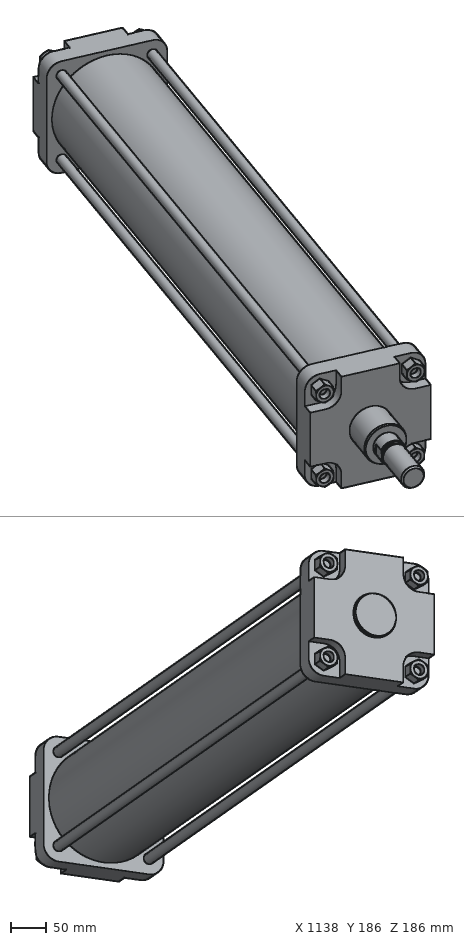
import cadquery as cq
import math


cap_width = 186.0
cap_length = 48.0
tie_rod_pitch = 140.0
cap_corner_radius = (cap_width - tie_rod_pitch) / 2
pocket_depth = 19.0
pocket_width = 48.0
pocket_corner_radius = pocket_width / 2
pocket_offset = (cap_width - pocket_width) / 2
tie_rod_offset = tie_rod_pitch / 2

collar_diameter = 65.0
collar_chamfer_length = 3.0
collar_chamfer_height = 1.2
boss_length = 6.0
front_collar_length = 55.0

barrel_diameter = 170.0
body_length = 980.0
barrel_length = body_length - 2 * cap_length
front_cap_start = body_length - cap_length

rod_diameter = 40.0
rod_flat_width = 36.0
rod_shoulder_reach = 80.0
rod_shoulder_chamfer = 1.5
flat_length = 19.0
thread_diameter = 36.0
thread_length = 72.0
thread_chamfer_length = 3.0
thread_relief_length = 2.0
thread_chamfer_height = 2.5
rod_shoulder = body_length + rod_shoulder_reach

tie_rod_diameter = 16.0
nut_width = 27.0
nut_height = 18.0
nut_corner_diameter = nut_width / math.cos(math.pi / 6)
nut_bevel_angle = math.radians(30)
nut_bevel_height = (nut_corner_diameter - nut_width) / 2 * math.tan(nut_bevel_angle)
tie_rod_end_chamfer = 1.5
tie_rod_recess = 10.0

corner_centres = [
    (y_side * tie_rod_offset, z_side * tie_rod_offset)
    for y_side in (-1, 1)
    for z_side in (-1, 1)
]


def turned(profile):
    """Solid of revolution about the X axis from (x, radius) points."""
    start_x = profile[0][0]
    end_x = profile[-1][0]
    outline = [(start_x, 0), *profile, (end_x, 0)]
    return (
        cq.Workplane("XZ")
        .polyline(outline)
        .close()
        .revolve(360, (0, 0, 0), (1, 0, 0))
    )


def disc(start_x, diameter, length):
    """Plain cylinder about the X axis, growing from start_x to +X."""
    return turned([(start_x, diameter / 2), (start_x + length, diameter / 2)])


def corner_pockets(start_x):
    """Four corner reliefs that leave room for the tie-rod nuts."""
    pockets = cq.Workplane("YZ")
    for y, z in corner_centres:
        centre_y = math.copysign(pocket_offset, y)
        centre_z = math.copysign(pocket_offset, z)
        pocket = (
            cq.Workplane("YZ", origin=(start_x, centre_y, centre_z))
            .rect(pocket_width, pocket_width)
            .extrude(pocket_depth)
        )
        inner_y = "<Y" if y > 0 else ">Y"
        inner_z = "<Z" if z > 0 else ">Z"
        pocket = pocket.faces(inner_y).edges(inner_z).fillet(pocket_corner_radius)
        pockets = pockets.add(pocket)
    return pockets.combine()


def cap_block(start_x, pocket_start):
    """Square cap with rounded corners, nut pockets and tie-rod holes."""
    block = (
        cq.Workplane("YZ", origin=(start_x, 0, 0))
        .rect(cap_width, cap_width)
        .extrude(cap_length)
        .edges("|X")
        .fillet(cap_corner_radius)
    )
    holes = (
        cq.Workplane("YZ", origin=(start_x, 0, 0))
        .pushPoints(corner_centres)
        .circle(tie_rod_diameter / 2)
        .extrude(cap_length)
    )
    return block.cut(corner_pockets(pocket_start)).cut(holes)


def make_collar(length):
    """Round collar on X = 0 with a slender lead-in chamfer at its +X end."""
    radius = collar_diameter / 2
    return turned([
        (0, radius),
        (length - collar_chamfer_length, radius),
        (length, radius - collar_chamfer_height),
    ])


def make_rear_cap():
    boss = make_collar(boss_length).mirror("YZ")
    return cap_block(0, 0).union(boss)


def make_front_cap():
    collar = make_collar(front_collar_length).translate((body_length, 0, 0))
    rod_bore = disc(front_cap_start, rod_diameter, cap_length + front_collar_length)
    block = cap_block(front_cap_start, body_length - pocket_depth)
    return block.union(collar).cut(rod_bore)


def make_barrel():
    return disc(cap_length, barrel_diameter, barrel_length)


def make_piston_rod():
    rod_radius = rod_diameter / 2
    thread_radius = thread_diameter / 2
    thread_root = thread_radius - thread_chamfer_height
    thread_end = rod_shoulder + thread_length
    thread_start = rod_shoulder + thread_relief_length
    rod = turned([
        (front_cap_start, rod_radius),
        (rod_shoulder - rod_shoulder_chamfer, rod_radius),
        (rod_shoulder, rod_radius - rod_shoulder_chamfer),
        (rod_shoulder, thread_root),
        (thread_start, thread_root),
        (thread_start + thread_chamfer_length, thread_radius),
        (thread_end - thread_chamfer_length, thread_radius),
        (thread_end, thread_root),
    ])
    flat_centre = rod_shoulder - flat_length / 2
    for side in (-1, 1):
        waste = cq.Workplane("XY").box(flat_length, rod_flat_width, rod_diameter)
        rod = rod.cut(waste.translate((flat_centre, side * rod_flat_width, 0)))
    return rod


def make_nut():
    """Hexagonal nut on X = 0, corners along Z, bevelled at its -X end."""
    nut = (
        cq.Workplane("YZ")
        .transformed(rotate=(0, 0, 90))
        .polygon(6, nut_corner_diameter)
        .circle(tie_rod_diameter / 2)
        .extrude(nut_height)
    )
    bevel = turned([
        (0, nut_width / 2),
        (nut_bevel_height, nut_corner_diameter / 2),
        (nut_height, nut_corner_diameter / 2),
    ])
    return nut.intersect(bevel)


def make_tie_rod(y, z):
    """Tie rod running through both caps, with a nut seated in each pocket."""
    nut_face = pocket_depth - nut_height
    rear_nut = make_nut().translate((nut_face, 0, 0))
    front_nut = rear_nut.mirror("YZ").translate((body_length, 0, 0))
    rod_radius = tie_rod_diameter / 2
    end_radius = rod_radius - tie_rod_end_chamfer
    rod_start = nut_face + tie_rod_recess
    rod_end = body_length - rod_start
    rod = turned([
        (rod_start, end_radius),
        (rod_start + tie_rod_end_chamfer, rod_radius),
        (rod_end - tie_rod_end_chamfer, rod_radius),
        (rod_end, end_radius),
    ])
    return rod.union(rear_nut).union(front_nut).translate((0, y, z))


rear_cap = make_rear_cap()
front_cap = make_front_cap()
barrel = make_barrel()
piston_rod = make_piston_rod()
tie_rods = [make_tie_rod(y, z) for y, z in corner_centres]

result = cq.Compound.makeCompound([
    rear_cap.val(),
    front_cap.val(),
    barrel.val(),
    piston_rod.val(),
    *[tie_rod.val() for tie_rod in tie_rods],
])